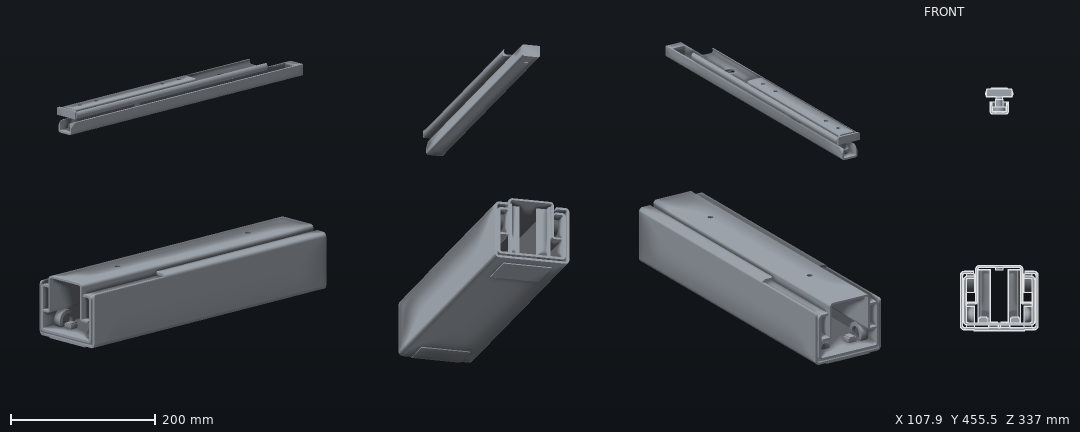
import cadquery as cq

CASE_HALF_WIDTH = 53.95
CASE_FRONT = 4.0
CASE_REAR = 455.5
CASE_BOTTOM = 1.5
CASE_TOP = 83.0
CASE_SHEET = 3.0
CASE_RADIUS = 6.0
CASE_OPENING_HALF = 35.5
CASE_LIP_FRONT = 140.5
CASE_LIP_ROUND = 4.0
CASE_WALL_TOP = 79.0
FOOT_HALF_WIDTH = 35.0
FRONT_FOOT_REAR = 51.0
REAR_FOOT_SPAN = (372.0, 435.0)

MIDDLE_HALF_WIDTH = 49.5
MIDDLE_FRONT = 2.0
MIDDLE_REAR = 452.5
MIDDLE_BOTTOM = 8.0
MIDDLE_TOP = 76.0
MIDDLE_SHEET = 3.0
MIDDLE_RADIUS = 5.5
MIDDLE_OPENING_HALF = 34.0
MIDDLE_WALL_SHEET = 4.0
ROLLER_WIDTH = 11.5
ROLLER_RECESS_DIAMETER = 18.5
ROLLER_RECESS_DEPTH = 5.5
LOWER_ROLLER_DIAMETER = 30.0
LOWER_ROLLER_Y = 38.5
UPPER_ROLLER_DIAMETER = 26.0
UPPER_ROLLER_Y = 419.0
ROLLER_CLEARANCE = 0.5
BLOCK_SPAN = (16.0, 28.5)
BLOCK_FRONT = 28.0
BLOCK_LENGTH = 12.7
BLOCK_HEIGHT = 6.5
BLOCK_STEP_SPAN = (17.8, 26.5)
BLOCK_STEP_HEIGHT = 2.0
POST_SPAN = (12.5, 29.5)
POST_TOP = 85.0
POST_FRONT = 432.5
POST_DEPTH = 13.5
POST_SHEET = 3.0
POST_BEND_RADIUS = 4.0
GUIDE_SPAN = (1.5, 14.5)
GUIDE_CAP_SPAN = (2.7, 12.0)
GUIDE_CAP_HEIGHT = 1.5
GUIDE_FRONT = 218.5
GUIDE_LENGTH = 18.0

INNER_HALF_WIDTH = 33.0
INNER_FRONT = 0.0
INNER_REAR = 451.3
INNER_TOP = 91.0
INNER_BOTTOM = 37.5
INNER_SHEET = 2.7
INNER_RADIUS = 5.5
INNER_FLANGE_HALF = 44.5
FLANGE_BEND_RADIUS = 3.5
NUT_Y = (102.5, 356.0)
NUT_DIAMETER = 11.0
NUT_HOLE_DIAMETER = 8.5
NUT_HEIGHT = 4.0

RAIL_HALF_WIDTH = 12.5
RAIL_REAR = 451.3
RAIL_BOTTOM = 301.0
RAIL_TOP = 318.0
RAIL_SHEET = 2.7
RAIL_RADIUS = 3.0
RAIL_INNER_RADIUS = 1.5
RAIL_BEVEL_LENGTH = 7.7
RAIL_BEVEL_DROP = 7.0
RAIL_SCREW_Y = 425.0
RAIL_SCREW_DIAMETER = 6.5
RAIL_SCREW_HEAD_DIAMETER = 11.0
RAIL_SCREW_HEAD_DEPTH = 1.5
PLUG_LENGTH = 13.5

CARRIAGE_FRONT = 5.0
CARRIAGE_REAR = 375.5
CARRIAGE_BOTTOM = 324.5
CARRIAGE_TOP = 334.0
CARRIAGE_FOOT_HALF = 17.5
CARRIAGE_BULGE_HALF = 18.9
CARRIAGE_RIM_HALF = 17.0
CARRIAGE_FLOOR_SHEET = 2.7
CARRIAGE_FLOOR_HALF = 12.5
CARRIAGE_RACE_HALF = 16.5
CARRIAGE_MOUTH_HALF = 15.0
CARRIAGE_HOLE_Y = 306.0
CARRIAGE_HOLE_DIAMETER = 14.0
CAP_HALF_WIDTH = 17.8
CAP_TOP = 336.0
CAP_CORNER = 2.5
CAP_THICKNESS = 2.7
WHEEL_Y = (20.5, 143.5)
STEM_DIAMETER = 9.5
COLLAR_DIAMETER = 11.0
COLLAR_TOP = 321.5
WHEEL_DIAMETER = 18.5
WHEEL_TOP = 310.5
WHEEL_BOTTOM = 304.0

COVER_FRONT = 7.5
COVER_REAR = 242.5
COVER_TOP = 337.0
COVER_HALF_WIDTH = 12.05
COVER_SHEET = 2.7
COVER_RADIUS = 2.5
COVER_HOLE_Y = (29.5, 61.0, 190.0, 221.8)
COVER_HOLE_DIAMETER = 6.5


def block(x_span, y_span, z_span):
    """Box between the given limits along X, Y and Z."""
    size = [high - low for low, high in (x_span, y_span, z_span)]
    return cq.Workplane("XY").box(*size, centered=False).translate((x_span[0], y_span[0], z_span[0]))


def centred_block(half_width, y_span, z_span):
    return block((-half_width, half_width), y_span, z_span)


def upright_cylinder(diameter, y, z_span):
    plane = cq.Workplane("XY").workplane(offset=z_span[0]).center(0, y)
    return plane.circle(diameter / 2).extrude(z_span[1] - z_span[0])


def cross_cylinder(diameter, x_span, y, z):
    plane = cq.Workplane("YZ").workplane(offset=x_span[0]).center(y, z)
    return plane.circle(diameter / 2).extrude(x_span[1] - x_span[0])


def with_mirror(left_or_right):
    """A shape on one side of X = 0 together with its mirror image."""
    return left_or_right.add(left_or_right.mirror("YZ")).combine()


def rounded_tube(half_width, y_span, z_span, wall, sheet, radius):
    """Bent sheet tube along Y with side walls `wall` thick and the other two `sheet` thick."""
    outside = centred_block(half_width, y_span, z_span).edges("|Y").fillet(radius)
    hollow = centred_block(half_width - wall, y_span, (z_span[0] + sheet, z_span[1] - sheet))
    return outside.cut(hollow.edges("|Y").fillet(radius - sheet))


def make_case():
    y_span = (CASE_FRONT, CASE_REAR)
    z_span = (CASE_BOTTOM, CASE_TOP)
    case = rounded_tube(CASE_HALF_WIDTH, y_span, z_span, CASE_SHEET, CASE_SHEET, CASE_RADIUS)
    lip_bottom = CASE_TOP - CASE_SHEET
    case = case.cut(centred_block(CASE_OPENING_HALF, y_span, (lip_bottom, CASE_TOP)))

    lipless = (CASE_FRONT, CASE_LIP_FRONT)
    case = case.cut(centred_block(CASE_HALF_WIDTH, lipless, (CASE_WALL_TOP, CASE_TOP)))
    inside_half = CASE_HALF_WIDTH - CASE_SHEET
    case = case.cut(centred_block(inside_half, lipless, (CASE_WALL_TOP - CASE_RADIUS, CASE_TOP)))
    lip_corners = cq.selectors.BoxSelector(
        (-CASE_OPENING_HALF - 0.5, CASE_LIP_FRONT - 0.5, lip_bottom - 0.5),
        (CASE_OPENING_HALF + 0.5, CASE_LIP_FRONT + 0.5, CASE_TOP + 0.5),
    )
    case = case.edges(lip_corners).edges("|Z").fillet(CASE_LIP_ROUND)
    wall_corners = cq.selectors.BoxSelector(
        (-CASE_HALF_WIDTH, CASE_FRONT - 0.5, CASE_WALL_TOP - 0.5),
        (CASE_HALF_WIDTH, CASE_FRONT + 0.5, CASE_WALL_TOP + 0.5),
    )
    case = case.edges(wall_corners).edges("|X").fillet(CASE_LIP_ROUND)

    for foot_span in ((CASE_FRONT, FRONT_FOOT_REAR), REAR_FOOT_SPAN):
        case = case.union(centred_block(FOOT_HALF_WIDTH, foot_span, (0, CASE_BOTTOM)))
    return case


def make_roller(diameter, y, z):
    """Roller on the inner face of the middle channel's right wall."""
    wall_face = MIDDLE_HALF_WIDTH - MIDDLE_WALL_SHEET
    face = wall_face - ROLLER_WIDTH
    roller = cross_cylinder(diameter, (face, wall_face), y, z)
    recess_span = (face, face + ROLLER_RECESS_DEPTH)
    return roller.cut(cross_cylinder(ROLLER_RECESS_DIAMETER, recess_span, y, z))


def make_roller_slot(diameter, y, z):
    wall_face = MIDDLE_HALF_WIDTH - MIDDLE_WALL_SHEET
    span = (wall_face - ROLLER_WIDTH - ROLLER_CLEARANCE, wall_face)
    return cross_cylinder(diameter + 2 * ROLLER_CLEARANCE, span, y, z)


def make_post(floor):
    """L-shaped post, bent about a vertical line at its outer front corner."""
    post_rear = POST_FRONT + POST_DEPTH
    post = block(POST_SPAN, (POST_FRONT, post_rear), (floor, POST_TOP))
    post = post.edges("|Z and >X and <Y").fillet(POST_BEND_RADIUS)
    hollow_span = (POST_SPAN[0], POST_SPAN[1] - POST_SHEET)
    hollow = block(hollow_span, (POST_FRONT + POST_SHEET, post_rear), (floor, POST_TOP))
    return post.cut(hollow.edges("|Z and >X and <Y").fillet(POST_BEND_RADIUS - POST_SHEET))


def make_middle():
    y_span = (MIDDLE_FRONT, MIDDLE_REAR)
    z_span = (MIDDLE_BOTTOM, MIDDLE_TOP)
    middle = rounded_tube(
        MIDDLE_HALF_WIDTH, y_span, z_span, MIDDLE_WALL_SHEET, MIDDLE_SHEET, MIDDLE_RADIUS
    )
    lip_bottom = MIDDLE_TOP - MIDDLE_SHEET
    middle = middle.cut(centred_block(MIDDLE_OPENING_HALF, y_span, (lip_bottom, MIDDLE_TOP)))

    lower_z = CASE_BOTTOM + CASE_SHEET + LOWER_ROLLER_DIAMETER / 2
    upper_z = CASE_TOP - CASE_SHEET - ROLLER_CLEARANCE - UPPER_ROLLER_DIAMETER / 2
    rollers = (
        (LOWER_ROLLER_DIAMETER, LOWER_ROLLER_Y, lower_z),
        (UPPER_ROLLER_DIAMETER, UPPER_ROLLER_Y, upper_z),
    )
    for roller in rollers:
        middle = middle.cut(with_mirror(make_roller_slot(*roller)))
        middle = middle.union(with_mirror(make_roller(*roller)))

    floor = MIDDLE_BOTTOM + MIDDLE_SHEET
    block_y = (BLOCK_FRONT, BLOCK_FRONT + BLOCK_LENGTH)
    block_top = floor + BLOCK_HEIGHT
    step = (BLOCK_STEP_SPAN, block_y, (block_top, block_top + BLOCK_STEP_HEIGHT))
    middle = middle.union(with_mirror(block(BLOCK_SPAN, block_y, (floor, block_top))))
    middle = middle.union(with_mirror(block(*step)))

    middle = middle.union(with_mirror(make_post(floor)))

    guide_y = (GUIDE_FRONT, GUIDE_FRONT + GUIDE_LENGTH)
    guide = block(GUIDE_SPAN, guide_y, (CASE_BOTTOM + CASE_SHEET, MIDDLE_BOTTOM))
    cap = block(GUIDE_CAP_SPAN, guide_y, (floor, floor + GUIDE_CAP_HEIGHT))
    return middle.union(with_mirror(guide)).union(with_mirror(cap))


def make_inner():
    y_span = (INNER_FRONT, INNER_REAR)
    inner = centred_block(INNER_HALF_WIDTH, y_span, (INNER_BOTTOM, INNER_TOP))
    flange_top = INNER_BOTTOM + INNER_SHEET
    inner = inner.union(centred_block(INNER_FLANGE_HALF, y_span, (INNER_BOTTOM, flange_top)))
    inner = inner.edges("|Y and >Z").fillet(INNER_RADIUS)
    hollow_half = INNER_HALF_WIDTH - INNER_SHEET
    hollow = centred_block(hollow_half, y_span, (INNER_BOTTOM, INNER_TOP - INNER_SHEET))
    inner = inner.cut(hollow.edges("|Y and >Z").fillet(INNER_RADIUS - INNER_SHEET))
    bend = cq.selectors.BoxSelector(
        (-hollow_half - 0.5, -4.5, INNER_BOTTOM - 0.5), (hollow_half + 0.5, 460, INNER_BOTTOM + 0.5)
    )
    inner = inner.edges(bend).edges("|Y").fillet(FLANGE_BEND_RADIUS)

    nut_bottom = INNER_TOP - INNER_SHEET - NUT_HEIGHT
    for y in NUT_Y:
        inner = inner.union(upright_cylinder(NUT_DIAMETER, y, (nut_bottom, INNER_TOP)))
        inner = inner.cut(upright_cylinder(NUT_HOLE_DIAMETER, y, (nut_bottom, INNER_TOP)))
    return inner


def make_rail():
    y_span = (0, RAIL_REAR)
    floor = RAIL_BOTTOM + RAIL_SHEET
    rail = centred_block(RAIL_HALF_WIDTH, y_span, (RAIL_BOTTOM, RAIL_TOP))
    rail = rail.edges("|Y and <Z").fillet(RAIL_RADIUS)
    hollow = centred_block(RAIL_HALF_WIDTH - RAIL_SHEET, y_span, (floor, RAIL_TOP))
    rail = rail.cut(hollow.edges("|Y and <Z").fillet(RAIL_INNER_RADIUS))

    corner = cq.Vector(RAIL_HALF_WIDTH, 0, RAIL_TOP)
    along = cq.Vector(0, RAIL_BEVEL_LENGTH, 0)
    to_drop = cq.Vector(0, 0, -RAIL_BEVEL_DROP) - along
    to_inside = cq.Vector(-RAIL_SHEET, 0, 0) - along
    plane = cq.Plane(origin=corner + along, xDir=to_drop, normal=to_inside.cross(to_drop))
    waste = cq.Workplane(plane).rect(4 * RAIL_BEVEL_LENGTH, 4 * RAIL_BEVEL_LENGTH).extrude(RAIL_BEVEL_LENGTH)
    rail = rail.cut(waste).cut(waste.mirror("YZ"))

    head_bottom = floor - RAIL_SCREW_HEAD_DEPTH
    rail = rail.cut(upright_cylinder(RAIL_SCREW_HEAD_DIAMETER, RAIL_SCREW_Y, (head_bottom, floor)))
    return rail.cut(upright_cylinder(RAIL_SCREW_DIAMETER, RAIL_SCREW_Y, (RAIL_BOTTOM, floor)))


def make_plug():
    """Plug that fills the rear end of the rail."""
    y_span = (RAIL_REAR - PLUG_LENGTH, RAIL_REAR)
    plug = centred_block(RAIL_HALF_WIDTH - RAIL_SHEET, y_span, (RAIL_BOTTOM + RAIL_SHEET, RAIL_TOP))
    return plug.edges("|Y and <Z").fillet(RAIL_INNER_RADIUS)


def round_sided_bar(z_span, foot_half, bulge_half, rim_half, y_span):
    """Bar along Y with sides that bulge outward as arcs."""
    bottom, top = z_span
    bulge_z = (bottom + top) / 2
    section = (
        cq.Workplane("XZ", origin=(0, y_span[0], 0))
        .moveTo(-foot_half, bottom)
        .lineTo(foot_half, bottom)
        .threePointArc((bulge_half, bulge_z), (rim_half, top))
        .lineTo(-rim_half, top)
        .threePointArc((-bulge_half, bulge_z), (-foot_half, bottom))
        .close()
    )
    return section.extrude(y_span[0] - y_span[1])


def make_carriage():
    y_span = (CARRIAGE_FRONT, CARRIAGE_REAR)
    floor = CARRIAGE_BOTTOM + CARRIAGE_FLOOR_SHEET
    carriage = round_sided_bar(
        (CARRIAGE_BOTTOM, CARRIAGE_TOP), CARRIAGE_FOOT_HALF, CARRIAGE_BULGE_HALF, CARRIAGE_RIM_HALF, y_span
    )
    raceway = round_sided_bar(
        (floor, CARRIAGE_TOP), CARRIAGE_FLOOR_HALF, CARRIAGE_RACE_HALF, CARRIAGE_MOUTH_HALF, y_span
    )
    carriage = carriage.cut(raceway)
    carriage = carriage.cut(
        upright_cylinder(CARRIAGE_HOLE_DIAMETER, CARRIAGE_HOLE_Y, (CARRIAGE_BOTTOM, floor))
    )

    cap_span = (CARRIAGE_FRONT - CAP_THICKNESS, CARRIAGE_FRONT)
    cap = centred_block(CAP_HALF_WIDTH, cap_span, (CARRIAGE_BOTTOM, CAP_TOP))
    carriage = carriage.union(cap.edges("|Y and >Z").fillet(CAP_CORNER))

    for y in WHEEL_Y:
        carriage = carriage.union(upright_cylinder(STEM_DIAMETER, y, (COLLAR_TOP, CARRIAGE_BOTTOM)))
        carriage = carriage.union(upright_cylinder(COLLAR_DIAMETER, y, (WHEEL_TOP, COLLAR_TOP)))
        carriage = carriage.union(upright_cylinder(WHEEL_DIAMETER, y, (WHEEL_BOTTOM, WHEEL_TOP)))
    return carriage


def make_cover():
    y_span = (COVER_FRONT, COVER_REAR)
    bottom = CARRIAGE_BOTTOM + CARRIAGE_FLOOR_SHEET
    cover = centred_block(COVER_HALF_WIDTH, y_span, (bottom, COVER_TOP))
    cover = cover.edges("|Y and >Z").fillet(COVER_RADIUS)
    underside = COVER_TOP - COVER_SHEET
    cover = cover.cut(centred_block(COVER_HALF_WIDTH - COVER_SHEET, y_span, (bottom, underside)))
    for y in COVER_HOLE_Y:
        cover = cover.cut(upright_cylinder(COVER_HOLE_DIAMETER, y, (underside, COVER_TOP)))
    return cover


case = make_case()
middle = make_middle()
inner = make_inner()
rail = make_rail()
plug = make_plug()
carriage = make_carriage()
cover = make_cover()

result = cq.Compound.makeCompound(
    [case.val(), middle.val(), inner.val(), rail.val(), plug.val(), carriage.val(), cover.val()]
)